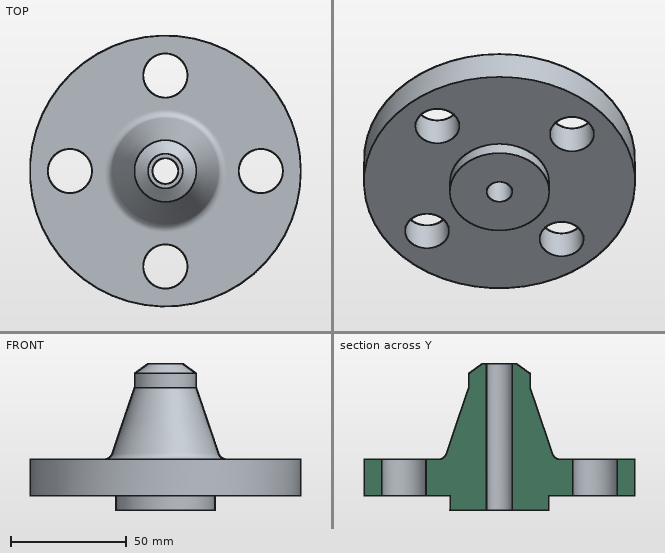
import cadquery as cq

flange_diameter = 117.3
flange_thickness = 15.8

face_diameter = 42.9
face_height = 6.3

overall_height = 63.5
hub_base_diameter = 47.7
hub_fillet_radius = 3.5
neck_diameter = 26.7
neck_length = 6.1
bevel_land_diameter = 15.0
bevel_height = 4.2
bore_diameter = 11.0

bolt_hole_count = 4
bolt_hole_diameter = 19.0
bolt_circle_diameter = 82.6

flange_top = face_height + flange_thickness
neck_top = overall_height - bevel_height
hub_top = neck_top - neck_length


def make_flange():
    """Round disc with the raised face on its underside."""
    face = cq.Workplane("XY").circle(face_diameter / 2).extrude(face_height)
    disc_plane = cq.Workplane("XY", origin=(0, 0, face_height))
    disc = disc_plane.circle(flange_diameter / 2).extrude(flange_thickness)
    return face.union(disc)


def make_hub():
    """Cone, straight neck and weld bevel revolved about Z."""
    return (
        cq.Workplane("XZ")
        .moveTo(0, flange_top)
        .lineTo(hub_base_diameter / 2, flange_top)
        .lineTo(neck_diameter / 2, hub_top)
        .lineTo(neck_diameter / 2, neck_top)
        .lineTo(bevel_land_diameter / 2, overall_height)
        .lineTo(0, overall_height)
        .close()
        .revolve(360, (0, 0, 0), (0, 1, 0))
    )


def fillet_hub_base(body):
    """Round the inner corner where the cone meets the top of the disc."""
    margin = 1.2
    reach = hub_base_diameter / 2 + margin
    root = cq.selectors.BoxSelector(
        (-reach, -reach, flange_top - margin),
        (reach, reach, flange_top + margin),
        boundingbox=True,
    )
    return body.edges(root).fillet(hub_fillet_radius)


def make_bore():
    """Straight bore through the full height."""
    return cq.Workplane("XY").circle(bore_diameter / 2).extrude(overall_height)


def make_bolt_holes():
    """Through holes on the bolt circle, the first one on the X axis."""
    return (
        cq.Workplane("XY")
        .polarArray(bolt_circle_diameter / 2, 0, 360, bolt_hole_count)
        .circle(bolt_hole_diameter / 2)
        .extrude(flange_top)
    )


body = fillet_hub_base(make_flange().union(make_hub()))
result = body.cut(make_bore()).cut(make_bolt_holes())